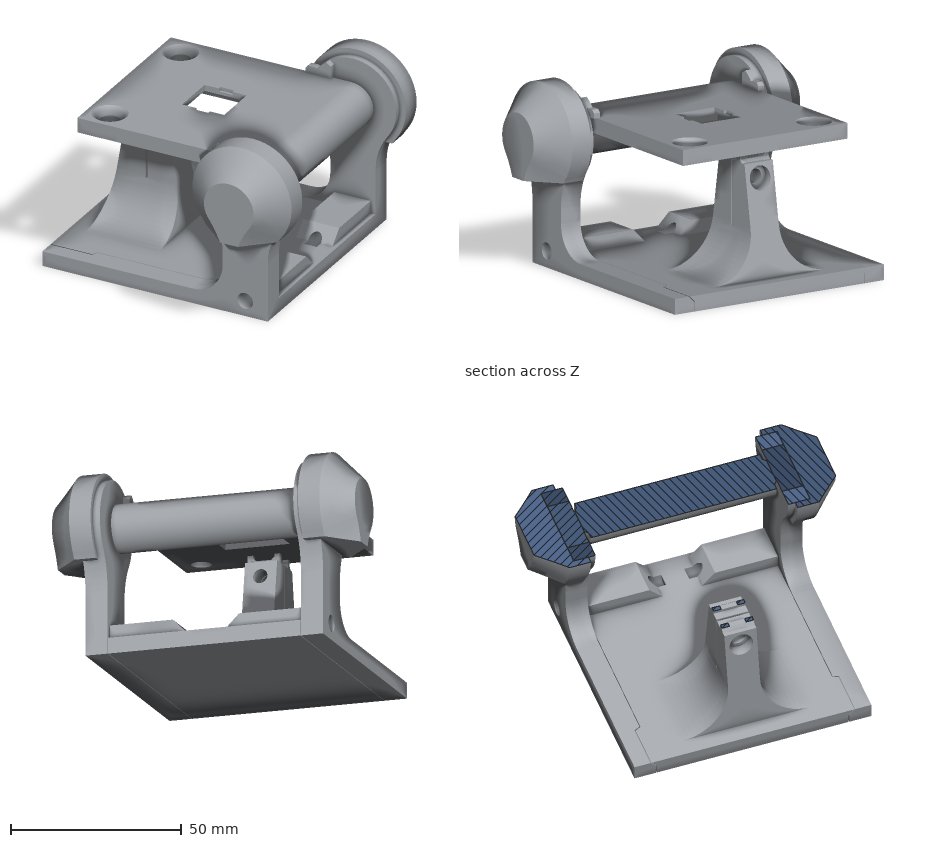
import cadquery as cq
import math

base_length = 74.9
base_half_width = 29.8
base_thickness = 4.8
arm_inner_y = 30.0
arm_outer_y = 36.85
arm_thickness = arm_outer_y - arm_inner_y

column_half_width = 7.5
hinge_x = base_length - column_half_width
hinge_z = 39.95
head_radius = 14.4
column_fillet = 10.0
neck_radius = 20.0

knob_radius = 16.45
knob_inner_y = 32.15
knob_outer_y = 47.0
knob_chamfer = 8.2
knob_bottom_z = 28.2

lid_front_x = 7.4
lid_half_width = 28.95
lid_bottom_z = 42.3
lid_top_z = 47.1
barrel_radius = 7.3
barrel_z = lid_top_z - barrel_radius
barrel_fillet = 2.4
boss_radius = 5.4
boss_length = arm_inner_y - lid_half_width
lid_hole_x = 14.5
lid_hole_y = 21.9
lid_hole_diameter = 6.2
lid_sink_diameter = 10.8
window_x = 37.4
window_size = 14.0
window_notch_width = 4.5
window_notch_depth = 1.0
window_notch_floor = 1.0
window_rim_thickness = 2.0
window_pocket_size = 20.0

pivot_diameter = 17.2

stop_inner_y = 27.9
stop_front_x = 52.7
stop_back_x = 61.2
stop_pad_end_x = 55.9
stop_pad_z = 49.6
stop_pad_chamfer = 0.9
stop_arc_start_x = 56.6
stop_arc_end_x = 59.6
stop_corner_drop = 0.9

lug_half_length = 6.0
lug_top_z = 8.9
lug_inner_y = 6.1
screw_z = 5.0
screw_bore_diameter = 4.2
screw_bore_end_y = 3.6
arm_screw_diameter = 5.2

tongue_length = 14.6
tongue_width = 1.8
tongue_end_taper = 0.9
tongue_clearance = 0.3

pillar_x = 17.6
pillar_bottom_half_length = 12.4
pillar_top_half_length = 6.7
pillar_top_z = 38.6
pillar_half_width = 5.0
pillar_flare = 14.9
slit_width = 0.7
slit_bottom_z = 18.6
pillar_hole_z = 34.0
pillar_hole_diameter = 4.4
pillar_sink_diameter = 7.2
pillar_sink_depth = 2.8

post_inner_x = 2.8
post_outer_x = 4.4
post_top_z = 41.4
post_width = 1.7
rail_height = 0.9
nub_height = 0.9
nub_reach = 0.3


def box(x_min, x_max, y_min, y_max, z_min, z_max):
    """Box between the given limits."""
    return cq.Workplane("XY").box(
        x_max - x_min, y_max - y_min, z_max - z_min, centered=False
    ).translate((x_min, y_min, z_min))


def y_cylinder(diameter, x, z, y_min, y_max):
    """Cylinder along Y between the given limits."""
    return cq.Workplane("XZ", origin=(x, y_min, z)).circle(diameter / 2).extrude(y_min - y_max)


def on_both_sides(right_half):
    """Pair of shapes: the given one on the +Y side and its mirror image."""
    return [right_half, right_half.mirror("XZ")]


neck_center_dx = column_half_width + neck_radius
neck_center_dz = -math.sqrt((head_radius + neck_radius) ** 2 - neck_center_dx**2)
neck_angle = math.atan2(neck_center_dz, neck_center_dx)
neck_end_z = hinge_z + neck_center_dz


def head_and_neck(growth, y_min, y_max, bottom_z):
    """Round head on a necked column, offset outward by `growth`, as a plate between two Y."""
    head = head_radius + growth
    neck = neck_radius - growth
    half_column = column_half_width + growth
    join_x = head * math.cos(neck_angle)
    join_z = hinge_z + head * math.sin(neck_angle)
    middle_angle = neck_angle / 2
    middle_x = neck_center_dx - neck * math.cos(middle_angle)
    middle_z = neck_end_z - neck * math.sin(middle_angle)
    return (
        cq.Workplane("XZ", origin=(hinge_x, y_min, 0))
        .moveTo(-half_column, bottom_z)
        .lineTo(-half_column, neck_end_z)
        .threePointArc((-middle_x, middle_z), (-join_x, join_z))
        .threePointArc((0, hinge_z + head), (join_x, join_z))
        .threePointArc((middle_x, middle_z), (half_column, neck_end_z))
        .lineTo(half_column, bottom_z)
        .close()
        .extrude(y_min - y_max)
    )


def tongue(clearance=0):
    """Tongue on the +Y edge of the base: triangular section with a slanted end, grown by `clearance`."""
    width = tongue_width + clearance
    length = tongue_length + clearance
    wedge = (
        cq.Workplane("YZ")
        .moveTo(base_half_width, base_thickness - width)
        .lineTo(base_half_width + width, base_thickness)
        .lineTo(base_half_width, base_thickness)
        .close()
        .extrude(length)
    )
    plan = (
        cq.Workplane("XY")
        .moveTo(0, base_half_width)
        .lineTo(length, base_half_width)
        .lineTo(length - tongue_end_taper, base_half_width + width)
        .lineTo(0, base_half_width + width)
        .close()
        .extrude(base_thickness)
    )
    return wedge.intersect(plan)


def screw_lug():
    """Block on the +Y side of the base, with a 45 degree inner end."""
    lug_height = lug_top_z - base_thickness
    return (
        cq.Workplane("YZ", origin=(hinge_x - lug_half_length, 0, 0))
        .moveTo(lug_inner_y, base_thickness)
        .lineTo(lug_inner_y + lug_height, lug_top_z)
        .lineTo(base_half_width, lug_top_z)
        .lineTo(base_half_width, base_thickness)
        .close()
        .extrude(2 * lug_half_length)
    )


def pillar_body():
    """Pillar that tapers in X and flares out to the base in Y."""
    foot_half_width = pillar_half_width + pillar_flare
    flare_top_z = base_thickness + pillar_flare
    arc_reach = pillar_flare * (1 - math.sqrt(0.5))
    flare_middle = (pillar_half_width + arc_reach, base_thickness + arc_reach)
    across = (
        cq.Workplane("YZ")
        .moveTo(-foot_half_width, base_thickness)
        .threePointArc((-flare_middle[0], flare_middle[1]), (-pillar_half_width, flare_top_z))
        .lineTo(-pillar_half_width, pillar_top_z)
        .lineTo(pillar_half_width, pillar_top_z)
        .lineTo(pillar_half_width, flare_top_z)
        .threePointArc(flare_middle, (foot_half_width, base_thickness))
        .close()
        .extrude(base_length)
    )
    along = (
        cq.Workplane("XZ", origin=(pillar_x, 0, 0))
        .moveTo(-pillar_bottom_half_length, base_thickness)
        .lineTo(-pillar_top_half_length, pillar_top_z)
        .lineTo(pillar_top_half_length, pillar_top_z)
        .lineTo(pillar_bottom_half_length, base_thickness)
        .close()
        .extrude(foot_half_width, both=True)
    )
    return across.intersect(along)


def post_pair():
    """Two posts joined by a low rail, on the +X half of the pillar."""
    rail_top_z = pillar_top_z + rail_height
    nub_middle_z = post_top_z - nub_height
    along = (
        cq.Workplane("XZ", origin=(pillar_x, 0, 0))
        .moveTo(post_inner_x, pillar_top_z)
        .lineTo(post_inner_x, nub_middle_z - nub_reach)
        .lineTo(post_inner_x - nub_reach, nub_middle_z)
        .lineTo(post_inner_x + nub_reach, post_top_z)
        .lineTo(post_outer_x, post_top_z)
        .lineTo(post_outer_x, rail_top_z)
        .lineTo(post_outer_x + rail_height, pillar_top_z)
        .close()
        .extrude(pillar_half_width, both=True)
    )
    gap_half_width = pillar_half_width - post_width
    gap = (
        cq.Workplane("YZ")
        .moveTo(-gap_half_width, post_top_z)
        .lineTo(-gap_half_width, rail_top_z + rail_height)
        .lineTo(rail_height - gap_half_width, rail_top_z)
        .lineTo(gap_half_width - rail_height, rail_top_z)
        .lineTo(gap_half_width, rail_top_z + rail_height)
        .lineTo(gap_half_width, post_top_z)
        .close()
        .extrude(base_length)
    )
    return along.cut(gap)


def pillar():
    """Pillar with its posts, slit and cross hole."""
    posts = post_pair()
    other_posts = posts.mirror("YZ", (pillar_x, 0, 0))
    slit = box(
        pillar_x - slit_width / 2, pillar_x + slit_width / 2,
        -base_length, base_length, slit_bottom_z, post_top_z,
    )
    face_slope = (pillar_bottom_half_length - pillar_top_half_length) / (pillar_top_z - base_thickness)
    face_x = pillar_x - pillar_top_half_length - face_slope * (pillar_top_z - pillar_hole_z)
    hole_plane = cq.Workplane("YZ").center(0, pillar_hole_z)
    hole = hole_plane.circle(pillar_hole_diameter / 2).extrude(2 * pillar_x)
    sink = hole_plane.circle(pillar_sink_diameter / 2).extrude(face_x + pillar_sink_depth)
    return pillar_body().union(posts).union(other_posts).cut(slit).cut(hole).cut(sink)


def make_base():
    """Base plate with tongues, screw lugs and pillar."""
    base = box(0, base_length, -base_half_width, base_half_width, 0, base_thickness).union(pillar())
    for side in on_both_sides(tongue()) + on_both_sides(screw_lug()):
        base = base.union(side)
    bore = y_cylinder(screw_bore_diameter, hinge_x, screw_z, screw_bore_end_y, base_half_width)
    for side in on_both_sides(bore):
        base = base.cut(side)
    return base


def make_arm():
    """Arm on the +Y side: foot bar, column and round head."""
    foot = box(0, base_length, arm_inner_y, arm_outer_y, 0, base_thickness)
    column_x = hinge_x - column_half_width
    fillet_start_x = column_x - column_fillet
    fillet_top_z = base_thickness + column_fillet
    arc_reach = column_fillet * (1 - math.sqrt(0.5))
    web = (
        cq.Workplane("XZ", origin=(0, arm_inner_y, 0))
        .moveTo(fillet_start_x, base_thickness)
        .threePointArc((column_x - arc_reach, base_thickness + arc_reach), (column_x, fillet_top_z))
        .lineTo(column_x, base_thickness)
        .close()
        .extrude(-arm_thickness)
    )
    arm = head_and_neck(0, arm_inner_y, arm_outer_y, 0).union(foot).union(web)
    screw_hole = y_cylinder(arm_screw_diameter, hinge_x, screw_z, arm_inner_y, arm_outer_y)
    return arm.cut(tongue(tongue_clearance)).cut(screw_hole).cut(make_pivot())


def make_pivot():
    """Disc that fills the bore of the +Y arm head."""
    return y_cylinder(pivot_diameter, hinge_x, barrel_z, arm_inner_y, arm_outer_y)


def make_knob():
    """Cap over the +Y arm head, bevelled on its outer side and cut flat at the bottom."""
    knob = head_and_neck(knob_radius - head_radius, knob_inner_y, knob_outer_y, 0)
    outer_rim = knob.faces(">Y").edges("not <Z")
    knob = outer_rim.chamfer(knob_chamfer)
    below = box(0, 2 * base_length, 0, 2 * knob_outer_y, 0, knob_bottom_z)
    return knob.cut(below).cut(head_and_neck(0, arm_inner_y, arm_outer_y, 0))


def head_arc_z(x):
    """Height of the upper head rim at a given X."""
    return hinge_z + math.sqrt(head_radius**2 - (x - hinge_x) ** 2)


def make_stop():
    """Stop on the inner face of the +Y arm head, with a pad in front and an arc along the rim."""
    middle_x = (stop_arc_start_x + stop_arc_end_x) / 2
    arc_end_z = head_arc_z(stop_arc_end_x)
    return (
        cq.Workplane("XZ", origin=(0, stop_inner_y, 0))
        .moveTo(stop_front_x, lid_top_z)
        .lineTo(stop_front_x, stop_pad_z - stop_pad_chamfer)
        .lineTo(stop_front_x + stop_pad_chamfer, stop_pad_z)
        .lineTo(stop_pad_end_x, stop_pad_z)
        .lineTo(stop_arc_start_x, head_arc_z(stop_arc_start_x))
        .threePointArc((middle_x, head_arc_z(middle_x)), (stop_arc_end_x, arc_end_z))
        .lineTo(stop_back_x, arc_end_z - stop_corner_drop)
        .lineTo(stop_back_x, lid_top_z)
        .close()
        .extrude(stop_inner_y - arm_inner_y)
    )


def make_lid():
    """Plate with a hinge barrel, conical pivot bosses, countersunk holes and a notched window."""
    plate = box(lid_front_x, hinge_x, -lid_half_width, lid_half_width, lid_bottom_z, lid_top_z)
    barrel = y_cylinder(2 * barrel_radius, hinge_x, barrel_z, -lid_half_width, lid_half_width)
    barrel_front_x = hinge_x - barrel_radius
    fillet_bottom_z = lid_bottom_z - barrel_fillet
    arc_reach = barrel_fillet * (1 - math.sqrt(0.5))
    web = (
        cq.Workplane("XZ")
        .moveTo(barrel_front_x - barrel_fillet, lid_bottom_z)
        .threePointArc(
            (barrel_front_x - arc_reach, lid_bottom_z - arc_reach), (barrel_front_x, fillet_bottom_z)
        )
        .lineTo(hinge_x, fillet_bottom_z)
        .lineTo(hinge_x, lid_bottom_z)
        .close()
        .extrude(lid_half_width, both=True)
    )
    lid = plate.union(barrel).union(web)
    boss = (
        cq.Workplane("XZ", origin=(hinge_x, lid_half_width, barrel_z))
        .circle(boss_radius)
        .extrude(-boss_length, taper=45)
    )
    for side in on_both_sides(boss):
        lid = lid.union(side)

    holes = (
        cq.Workplane("XY", origin=(0, 0, lid_top_z))
        .pushPoints([(lid_hole_x, lid_hole_y), (lid_hole_x, -lid_hole_y)])
    )
    drill = holes.circle(lid_hole_diameter / 2).extrude(lid_bottom_z - lid_top_z)
    sink = holes.circle(lid_sink_diameter / 2).extrude((lid_hole_diameter - lid_sink_diameter) / 2, taper=45)
    half_window = window_size / 2
    half_notch = window_notch_width / 2
    notch_y = half_window + window_notch_depth
    window = box(
        window_x - half_window, window_x + half_window,
        -half_window, half_window, lid_bottom_z, lid_top_z,
    )
    notches = box(
        window_x - half_notch, window_x + half_notch,
        -notch_y, notch_y, lid_top_z - window_notch_floor, lid_top_z,
    )
    half_pocket = window_pocket_size / 2
    pocket = box(
        window_x - half_pocket, window_x + half_pocket,
        -half_pocket, half_pocket, lid_bottom_z, lid_top_z - window_rim_thickness,
    )
    return lid.cut(drill).cut(sink).cut(window).cut(notches).cut(pocket)


base = make_base()
lid = make_lid()
arms = on_both_sides(make_arm())
pivots = on_both_sides(make_pivot())
knobs = on_both_sides(make_knob())
stops = on_both_sides(make_stop())

bodies = [base, lid, *arms, *pivots, *knobs, *stops]
result = cq.Compound.makeCompound([body.val() for body in bodies])